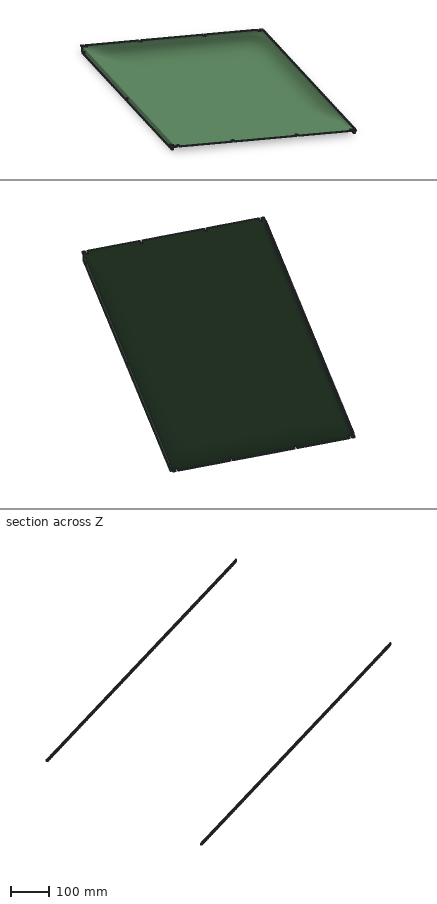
import cadquery as cq

LENGTH = 886.5
WIDTH = 500.0
HEIGHT = 15.0
THICKNESS = 1.5
BEND_RADIUS = 2.0

FLANGE_INSET = 15.0
FLANGE_CHAMFER = 3.5

HOLE_DIAMETER = 4.2
HOLE_SPACING = 407.0
HOLE_DROP = 7.5

SLOT_DEPTH = 11.0
SLOT_WIDTH = 6.0
OUTER_SLOT_Y = 238.0
INNER_SLOT_Y = 88.0

FLANGE_LENGTH = LENGTH - 2 * FLANGE_INSET
TOP_Z = HEIGHT / 2
BOTTOM_Z = -HEIGHT / 2


def make_folded_sheet():
    """Channel section with rounded bends, as long as the flanges, with chamfered lower corners."""
    outer = (
        cq.Workplane("XY")
        .box(FLANGE_LENGTH, WIDTH, HEIGHT)
        .edges("|X and >Z")
        .fillet(BEND_RADIUS)
        .edges("|Y and <Z")
        .chamfer(FLANGE_CHAMFER)
    )
    inner = (
        cq.Workplane("XY")
        .box(LENGTH, WIDTH - 2 * THICKNESS, HEIGHT)
        .edges("|X and >Z")
        .fillet(BEND_RADIUS - THICKNESS)
        .translate((0, 0, -THICKNESS))
    )
    return outer.cut(inner)


def make_end_tabs():
    """Flat strips beyond both flange ends, as wide as the flat area between the bends."""
    tab_center_x = (LENGTH - FLANGE_INSET) / 2
    return (
        cq.Workplane("XY", origin=(0, 0, TOP_Z - THICKNESS))
        .pushPoints([(-tab_center_x, 0), (tab_center_x, 0)])
        .rect(FLANGE_INSET, WIDTH - 2 * BEND_RADIUS)
        .extrude(THICKNESS)
    )


def make_flange_holes():
    """Cutters passing through both flanges."""
    hole_positions = [(x, TOP_Z - HOLE_DROP) for x in (-HOLE_SPACING, 0, HOLE_SPACING)]
    return (
        cq.Workplane("XZ")
        .pushPoints(hole_positions)
        .circle(HOLE_DIAMETER / 2)
        .extrude(WIDTH / 2, both=True)
    )


def make_end_slots():
    """Rectangular cutters, each half inside the panel, at the short sides."""
    slot_positions = [
        (x, y)
        for x in (-LENGTH / 2, LENGTH / 2)
        for y in (-OUTER_SLOT_Y, -INNER_SLOT_Y, INNER_SLOT_Y, OUTER_SLOT_Y)
    ]
    return (
        cq.Workplane("XY", origin=(0, 0, BOTTOM_Z))
        .pushPoints(slot_positions)
        .rect(2 * SLOT_DEPTH, SLOT_WIDTH)
        .extrude(HEIGHT)
    )


result = (
    make_folded_sheet()
    .union(make_end_tabs())
    .cut(make_flange_holes())
    .cut(make_end_slots())
)